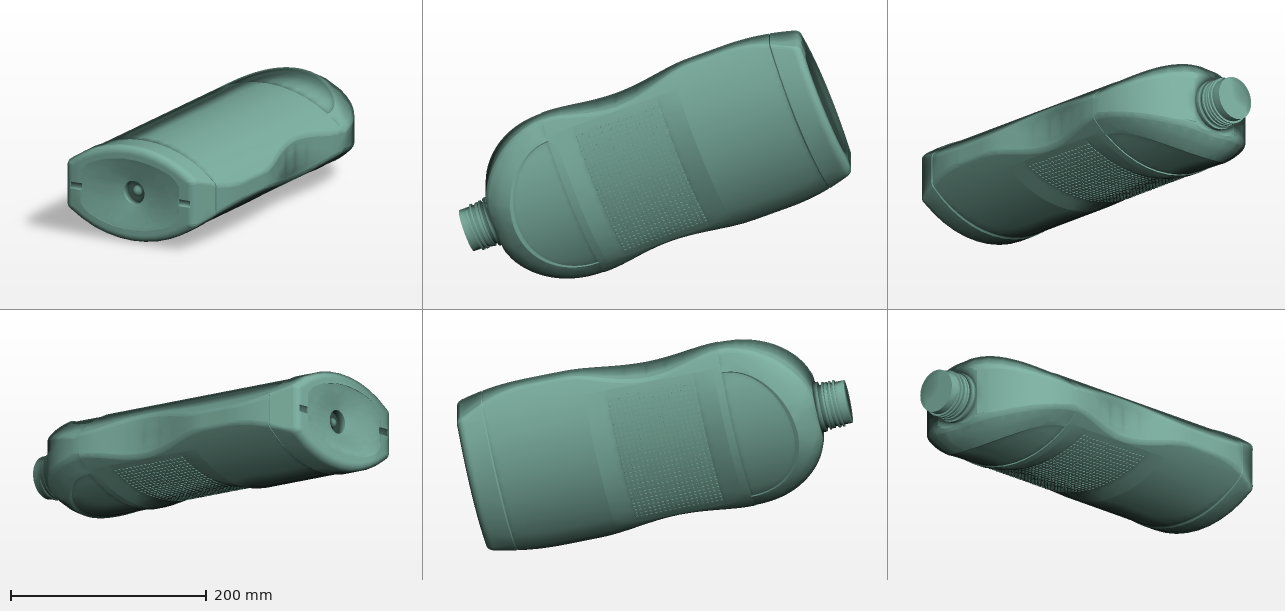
import cadquery as cq
import math

TOTAL_LENGTH = 393.84
WIDTH = 184.64
BASE_DEPTH = 101.24

SHOULDER_Y = 277.0
DOME_RADIUS = 89.6
CROWN_Y = 362.3
WAIST_Y = 200.0
WAIST_HALF_WIDTH = 79.0
BELLY_TOP_Y = 114.0
BELLY_BOTTOM_Y = 78.0
BASE_HALF_WIDTH = 74.0
FOOT_DIRECTION = (-0.42, -1)
DOME_MID_ANGLE = math.radians(35)

BODY_HALF_DEPTH = 48.8
BODY_ARC_RADIUS = 127.0
BAND_HALF_DEPTH = BASE_DEPTH / 2
BAND_ARC_RADIUS = 123.0
BAND_LENGTH = 30.5
BAND_BEVEL = 2.0
SIDE_FILLET = 6.5
BASE_FILLET = 7.8

ARCH_HALF_WIDTH = 71.8
ARCH_HEIGHT = 63.5
PANEL_HALF_WIDTH = 70.8
PANEL_HEIGHT = 59.5
PANEL_DEPTH = 1.4
RIM_OVERRUN = 0.5
RIM_MARGIN = 5.0
PRISM_MARGIN = 0.3
EDGE_HALF_DEPTH = 11.0
EDGE_RISE = 18.0
EDGE_EXPONENT = 1.6
EDGE_BULGE = 0.3
SHOULDER_BULGE = 2.5
SHOULDER_OVERRUN = 0.1
SHOULDER_MARGIN = 6.0
EDGE_CLEARANCE = 0.2
EDGE_SETBACK = 4.0
SECTION_STEP_DEGREES = 15

RECESS_DEPTH = 5.1
RECESS_OUTER_ENDS = (134.0, 269.0)
RECESS_FLOOR_ENDS = (157.0, 248.0)
RECESS_HALF_WIDTH = 76.0

STUD_RADIUS = 1.4
STUD_HEIGHT = 0.6
STUD_ROOT = 1.5
STUD_ROWS_Y = (158.5, 246.5)
STUD_ROWS = 19
STUD_COLUMNS = 30
STUD_SPREAD_X = 68.0

POCKET_HALF_WIDTH = 58.3
POCKET_HALF_DEPTH = 37.4
POCKET_ARC_RADIUS = 118.0
POCKET_CORNER_RADIUS = 10.0
POCKET_DEPTH = 9.0
FUNNEL_SEMI_AXES = (64.0, 41.0)
WELL_RADIUS = 12.3
WELL_DEPTH = 9.0
BUTTON_RADIUS = 5.9
SLOT_RADIUS = 3.6
SLOT_OUTER_X = 71.0
SLOT_INNER_X = 57.0

NECK_RADIUS = 22.3
FLANGE_RADIUS = 25.9
FLANGE_Y = (361.0, 366.8)
LOWER_RING_RADIUS = 24.6
LOWER_RING_Y = (370.4, 372.2)
UPPER_RING_RADIUS = 23.9
UPPER_RING_Y = (373.2, 376.0)
THREAD_RADIUS = 24.4
THREAD_WIDTH = 1.8
THREAD_PITCH = 4.4
THREAD_TURNS = 1.7
THREAD_START_Y = 377.6
OVERLAP = 0.5

FLAT_TOLERANCE = 1e-3
FAR = 120.0


def lens_height(x, half_depth, arc_radius):
    """Half depth of a lens cross-section at distance x from its middle."""
    return half_depth - arc_radius + math.sqrt(arc_radius**2 - x**2)


def body_height(x):
    return lens_height(x, BODY_HALF_DEPTH, BODY_ARC_RADIUS)


def lens_prism(half_depth, arc_radius, y_start, y_end):
    """Two arcs meeting at sharp sides, extruded along Y."""
    tip = math.sqrt(arc_radius**2 - (arc_radius - half_depth) ** 2)
    section = cq.Workplane("XZ", origin=(0, y_start, 0)).moveTo(-tip, 0)
    section = section.threePointArc((0, half_depth), (tip, 0))
    section = section.threePointArc((0, -half_depth), (-tip, 0)).close()
    return section.extrude(-(y_end - y_start))


def outline_prism():
    """Wavy plan outline with a round dome, extruded through the full depth."""
    half_width = WIDTH / 2
    waist = [(84.0, 239.5), (WAIST_HALF_WIDTH, WAIST_Y), (85.6, 155.5), (half_width, BELLY_TOP_Y)]
    foot = [(86.2, 33.0), (BASE_HALF_WIDTH, 0)]
    crown_x = math.sqrt(DOME_RADIUS**2 - (CROWN_Y - SHOULDER_Y) ** 2)
    dome_x = DOME_RADIUS * math.cos(DOME_MID_ANGLE)
    dome_y = SHOULDER_Y + DOME_RADIUS * math.sin(DOME_MID_ANGLE)
    half = (
        cq.Workplane("XY", origin=(0, 0, -FAR / 2))
        .moveTo(0, CROWN_Y)
        .lineTo(crown_x, CROWN_Y)
        .threePointArc((dome_x, dome_y), (DOME_RADIUS, SHOULDER_Y))
        .spline(waist, tangents=[(0, -1), (0, -1)], includeCurrent=True)
        .lineTo(half_width, BELLY_BOTTOM_Y)
        .spline(foot, tangents=[(0, -1), FOOT_DIRECTION], includeCurrent=True)
        .lineTo(0, 0)
    )
    outline = half.mirrorY()
    return outline.extrude(FAR)


def polar_ellipse(half_width, height, angle):
    """Distance from the centre of an ellipse to its rim in the given direction."""
    return half_width * height / math.hypot(height * math.cos(angle), half_width * math.sin(angle))


def fan_of_sections(draw_section):
    """Loft upright sections standing radially around the shoulder centre."""
    wires = []
    for degrees in range(0, 181, SECTION_STEP_DEGREES):
        angle = math.radians(degrees)
        outward = (math.cos(angle), math.sin(angle), 0)
        normal = (math.sin(angle), -math.cos(angle), 0)
        plane = cq.Plane(origin=(0, SHOULDER_Y, 0), xDir=outward, normal=normal)
        wires.append(draw_section(cq.Workplane(plane), angle).val())
    return cq.Workplane(obj=cq.Solid.makeLoft(wires))


def shoulder_section(plane, angle):
    """Space above the convex slope from the arch to the rounded outer edge."""
    rise = max(math.sin(angle), 0)
    arch_r = polar_ellipse(ARCH_HALF_WIDTH, ARCH_HEIGHT, angle)
    arch_z = body_height(arch_r * math.cos(angle))
    edge_r = min(DOME_RADIUS, (CROWN_Y - SHOULDER_Y) / max(rise, 0.1))
    edge_z = EDGE_HALF_DEPTH + EDGE_RISE * rise**EDGE_EXPONENT
    run = edge_r - arch_r
    drop = arch_z - edge_z
    length = math.hypot(run, drop)
    bulge = EDGE_BULGE + SHOULDER_BULGE * rise

    def slope_point(t):
        """Point on the convex slope; t runs from 0 at the arch to 1 at the edge."""
        lift = 4 * bulge * t * (1 - t) / length
        return (arch_r + t * run + lift * drop, arch_z - t * drop + lift * run)

    inner = slope_point(-SHOULDER_OVERRUN)
    corner = (edge_r + EDGE_CLEARANCE, edge_z)
    setback = 1 - EDGE_SETBACK / length
    round_start = slope_point(setback)
    round_end = (corner[0], edge_z - EDGE_SETBACK)
    round_middle = [(p + 2 * q + r) / 4 for p, q, r in zip(round_start, corner, round_end)]
    return (
        plane.moveTo(*inner)
        .threePointArc(slope_point(setback / 2), round_start)
        .threePointArc(round_middle, round_end)
        .lineTo(edge_r + SHOULDER_MARGIN, round_end[1])
        .lineTo(edge_r + SHOULDER_MARGIN, FAR / 2)
        .lineTo(inner[0], FAR / 2)
        .close()
    )


def rim_section(plane, angle):
    """Material left under the slope that runs from the arch down to the panel."""
    arch_r = polar_ellipse(ARCH_HALF_WIDTH, ARCH_HEIGHT, angle)
    panel_r = polar_ellipse(PANEL_HALF_WIDTH, PANEL_HEIGHT, angle)
    arch_z = body_height(arch_r * math.cos(angle))
    panel_z = body_height(panel_r * math.cos(angle)) - PANEL_DEPTH
    extra_r = RIM_OVERRUN * (arch_r - panel_r)
    extra_z = RIM_OVERRUN * (arch_z - panel_z)
    return (
        plane.moveTo(panel_r - extra_r, panel_z - extra_z)
        .lineTo(arch_r + extra_r, arch_z + extra_z)
        .lineTo(arch_r + extra_r + RIM_MARGIN, arch_z + extra_z)
        .lineTo(arch_r + extra_r + RIM_MARGIN, 0)
        .lineTo(panel_r - extra_r, 0)
        .close()
    )


def panel_cutter():
    """Space above the lowered panel, bounded by the sloped rim under the arch."""
    prism = cq.Workplane("XY", origin=(0, SHOULDER_Y, 0))
    prism = prism.ellipse(ARCH_HALF_WIDTH + PRISM_MARGIN, ARCH_HEIGHT + PRISM_MARGIN).extrude(FAR)
    beyond = cq.Workplane("XY", origin=(0, SHOULDER_Y + FAR, 0)).box(2 * FAR, 2 * FAR, 2 * FAR)
    lowered = lens_prism(BODY_HALF_DEPTH - PANEL_DEPTH, BODY_ARC_RADIUS, SHOULDER_Y - OVERLAP, TOTAL_LENGTH)
    return prism.intersect(beyond).cut(lowered).cut(fan_of_sections(rim_section))


def cut_both_sides(solid, cutter):
    return solid.cut(cutter).cut(cutter.mirror("XY"))


def long_side_edges(solid):
    """Edges where the upright side walls meet the front and back faces."""
    walls = [f for f in solid.faces().vals() if abs(f.normalAt().z) < FLAT_TOLERANCE and f.Center().y > OVERLAP]
    edges = [e for f in walls for e in f.Edges() if abs(e.Center().z) > OVERLAP]
    edges = [e for e in edges if abs(e.tangentAt(0.5).y) > 0.5]
    return solid.newObject(edges)


def body():
    """Lens-shaped body with rounded sides, sloped shoulders and sunken panels."""
    lens = lens_prism(BODY_HALF_DEPTH, BODY_ARC_RADIUS, BAND_LENGTH - OVERLAP, CROWN_Y)
    solid = outline_prism().intersect(lens)
    solid = long_side_edges(solid).fillet(SIDE_FILLET)
    solid = cut_both_sides(solid, fan_of_sections(shoulder_section))
    return cut_both_sides(solid, panel_cutter())


def recess_section(y, depth):
    """Region beyond an arc through the recess sides that sinks by the given depth at the middle."""
    side_z = body_height(RECESS_HALF_WIDTH)
    floor_z = BODY_HALF_DEPTH - depth
    section = cq.Workplane("XZ", origin=(0, y, 0)).moveTo(-RECESS_HALF_WIDTH, -side_z)
    section = section.threePointArc((0, -floor_z), (RECESS_HALF_WIDTH, -side_z))
    return section.lineTo(RECESS_HALF_WIDTH, -FAR / 2).lineTo(-RECESS_HALF_WIDTH, -FAR / 2).close().val()


def hand_recess():
    """Shallow recess with sloped ends, leaving the grip studs standing."""
    low_end, high_end = RECESS_OUTER_ENDS
    floor_low, floor_high = RECESS_FLOOR_ENDS
    stations = [(low_end, 0), (floor_low, RECESS_DEPTH), (floor_high, RECESS_DEPTH), (high_end, 0)]
    wires = [recess_section(y, depth) for y, depth in stations]
    return cq.Workplane(obj=cq.Solid.makeLoft(wires, True)).cut(grip_studs())


def grip_studs():
    """Grid of short cylinders standing square to the arched recess floor."""
    floor_z = BODY_HALF_DEPTH - RECESS_DEPTH
    sag = floor_z - body_height(RECESS_HALF_WIDTH)
    floor_radius = (RECESS_HALF_WIDTH**2 + sag**2) / (2 * sag)
    axis_z = floor_radius - floor_z
    spread = math.asin(STUD_SPREAD_X / floor_radius)
    first_y, last_y = STUD_ROWS_Y
    studs = []
    for column in range(STUD_COLUMNS):
        angle = spread * (2 * column / (STUD_COLUMNS - 1) - 1)
        outward = cq.Vector(math.sin(angle), 0, -math.cos(angle))
        root = cq.Vector(0, 0, axis_z) + outward * (floor_radius - STUD_ROOT)
        for row in range(STUD_ROWS):
            y = first_y + (last_y - first_y) * row / (STUD_ROWS - 1)
            centre = root + cq.Vector(0, y, 0)
            studs.append(cq.Solid.makeCylinder(STUD_RADIUS, STUD_ROOT + STUD_HEIGHT, centre, outward))
    return cq.Workplane(obj=cq.Compound.makeCompound(studs))


def base_band():
    """Thicker foot of the body with bevelled step and rounded base edge."""
    band = lens_prism(BAND_HALF_DEPTH, BAND_ARC_RADIUS, 0, BAND_LENGTH).intersect(outline_prism())
    band = long_side_edges(band).fillet(SIDE_FILLET)
    band = band.faces(">Y").edges().chamfer(BAND_BEVEL)
    return band.faces("<Y").edges().fillet(BASE_FILLET)


def base_pocket():
    """Elliptic funnel inside a lens-shaped mouth, leading to a round well with a domed button."""
    mouth = lens_prism(POCKET_HALF_DEPTH, POCKET_ARC_RADIUS, 0, POCKET_DEPTH)
    mouth = mouth.intersect(cq.Workplane("XY").box(2 * POCKET_HALF_WIDTH, FAR, FAR))
    mouth = mouth.edges("|Y").fillet(POCKET_CORNER_RADIUS)
    funnel = cq.Workplane("XZ").ellipse(*FUNNEL_SEMI_AXES)
    funnel = funnel.workplane(offset=-POCKET_DEPTH).ellipse(WELL_RADIUS, WELL_RADIUS).loft()
    well = ring(WELL_RADIUS, (POCKET_DEPTH - OVERLAP, POCKET_DEPTH + WELL_DEPTH))
    button = cq.Workplane("XZ", origin=(0, POCKET_DEPTH + WELL_DEPTH, 0)).sphere(BUTTON_RADIUS)
    return mouth.intersect(funnel).union(well).cut(button)


def base_slots():
    """Round-bottomed slots across the base rim on the parting plane."""
    length = SLOT_OUTER_X - SLOT_INNER_X
    slot = cq.Workplane("YZ", origin=(SLOT_INNER_X, 0, 0)).circle(SLOT_RADIUS).extrude(length)
    return slot.union(slot.mirror("YZ"))


def ring(radius, y_range):
    """Disc around the bottle axis between two heights."""
    y_start, y_end = y_range
    return cq.Workplane("XZ", origin=(0, y_start, 0)).circle(radius).extrude(y_start - y_end)


def thread():
    """Single helical ridge of rectangular section around the neck."""
    helix = cq.Wire.makeHelix(
        THREAD_PITCH, THREAD_PITCH * THREAD_TURNS, NECK_RADIUS, cq.Vector(0, THREAD_START_Y, 0), cq.Vector(0, 1, 0))
    start = helix.startPoint()
    height = THREAD_RADIUS - NECK_RADIUS + OVERLAP
    radial = cq.Vector(start.x, 0, start.z).normalized()
    tangent = cq.Vector(0, 1, 0).cross(radial)
    centre = start + radial * (height / 2 - OVERLAP)
    plane = cq.Plane(origin=centre, xDir=radial, normal=tangent)
    return cq.Workplane(plane).rect(height, THREAD_WIDTH).sweep(cq.Workplane(obj=helix), isFrenet=True)


def neck():
    """Plain neck with flange, two rings and a thread."""
    solid = ring(NECK_RADIUS, (CROWN_Y - OVERLAP, TOTAL_LENGTH))
    solid = solid.union(ring(FLANGE_RADIUS, FLANGE_Y))
    solid = solid.union(ring(LOWER_RING_RADIUS, LOWER_RING_Y))
    solid = solid.union(ring(UPPER_RING_RADIUS, UPPER_RING_Y))
    return solid.union(thread())


def bottle():
    foot = base_band().cut(base_slots()).cut(base_pocket())
    return body().cut(hand_recess()).union(foot).union(neck())


result = bottle()